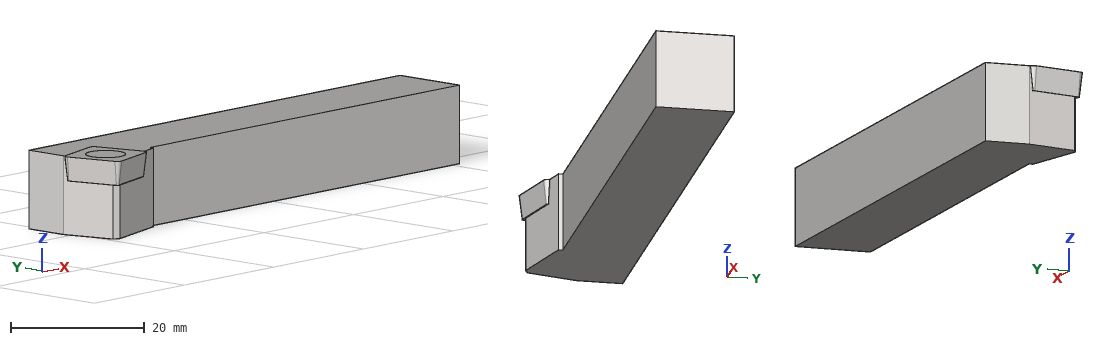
import cadquery as cq
import math

overall_length = 83.2
insert_overhang = 0.3
shank_size = 12.0
holder_length = overall_length - insert_overhang

lead_angle = 15.0
end_face_width = 7.0
nose_side_y = -15.0
nose_front_x = 3.2
nose_front_y = -15.5
head_length = 13.8

overall_width = 16.3
insert_size = 9.5
insert_thickness = 3.75
insert_corner_radius = 0.75
relief_angle = 7.0
insert_hole_diameter = 6.0

lead = math.radians(lead_angle)
corner_centre_offset = insert_size / 2 - insert_corner_radius
insert_half_span = corner_centre_offset * (math.cos(lead) + math.sin(lead)) + insert_corner_radius
insert_centre = (insert_half_span - insert_overhang, insert_half_span - overall_width)


def make_insert():
    """Rounded square plate, tapering downward, with a plain central hole."""
    plate = (
        cq.Workplane("XY")
        .sketch()
        .rect(insert_size, insert_size)
        .vertices()
        .fillet(insert_corner_radius)
        .finalize()
        .extrude(-insert_thickness, taper=relief_angle)
    )
    hole = cq.Workplane("XY").circle(insert_hole_diameter / 2).extrude(-insert_thickness)
    return plate.cut(hole).rotate((0, 0, 0), (0, 0, 1), lead_angle).translate((*insert_centre, 0))


def make_holder(insert):
    """Square shank and angled head, recessed for the insert around a central peg."""
    nose_side_x = (-end_face_width - nose_side_y) * math.tan(lead)
    head_end_y = nose_front_y + (head_length - nose_front_x) * math.tan(lead)
    outline = [
        (0, 0),
        (0, -end_face_width),
        (nose_side_x, nose_side_y),
        (nose_front_x, nose_front_y),
        (head_length, head_end_y),
        (head_length, -shank_size),
        (holder_length, -shank_size),
        (holder_length, 0),
    ]
    blank = cq.Workplane("XY").polyline(outline).close().extrude(-shank_size)
    return blank.cut(insert)


insert = make_insert()
holder = make_holder(insert)

result = cq.Compound.makeCompound([*holder.solids().vals(), *insert.solids().vals()])